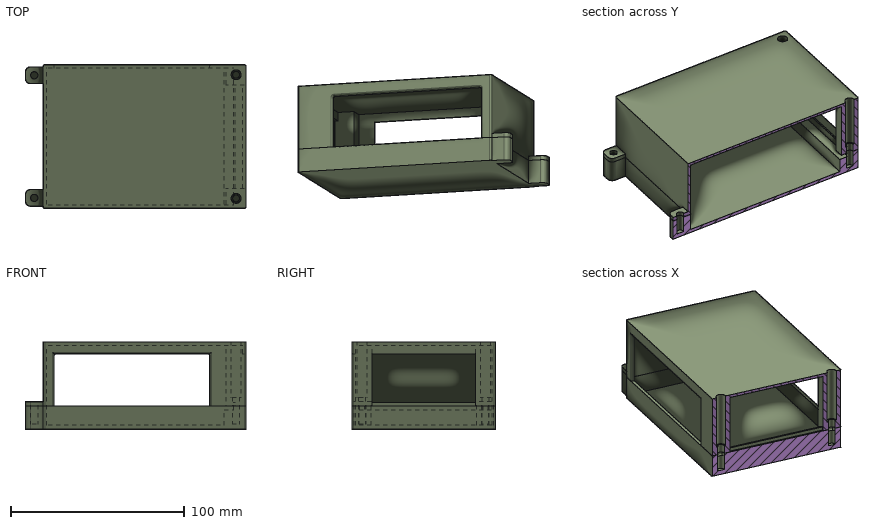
import cadquery as cq

LENGTH = 117.25
WIDTH = 83.0
HEIGHT = 50.5
BASE_HEIGHT = 13.5
WALL = 2.0
FLOOR = 2.5
CORNER_RADIUS = 1.0

TAB_LENGTH = 10.25
TAB_WIDTH = 9.75
TAB_RADIUS = 3.0
COVER_TAB_THICKNESS = 2.5
TAB_HOLE_DIAMETER = 4.2
TAB_HOLE_FLOOR = 3.0
TAB_Y = 35.4

WINDOW_START = 6.4
WINDOW_END = 96.15
WINDOW_TOP = 43.5
WINDOW_EDGE_RADIUS = 1.0

SCREW_INSET = 5.8
SCREW_DIAMETER = 4.0
SCREW_HEAD_DIAMETER = 5.7
SCREW_HEAD_SEAT = 18.5
SCREW_HOLE_FLOOR = 3.0
POST_SIZE = 2 * SCREW_INSET
SCREW_X = LENGTH - SCREW_INSET
SCREW_Y = WIDTH / 2 - SCREW_INSET

BLOCK_START = 104.4
LEDGE_HEIGHT = 11.2
UPPER_STEP_START = 110.0
LIP_THICKNESS = 0.9
LIP_HEIGHT = 2.1

END_OPENING_WIDTH = WIDTH - 2 * POST_SIZE

SIDES = (-1, 1)


def box(x_range, y_range, z_range):
    """Axis-aligned box between the given pairs of limits."""
    x0, x1 = x_range
    y0, y1 = y_range
    z0, z1 = z_range
    return cq.Workplane("XY").box(x1 - x0, y1 - y0, z1 - z0, centered=False).translate((x0, y0, z0))


def centred_box(x_range, width, z_range):
    """Box of the given width, centred on Y = 0."""
    return box(x_range, (-width / 2, width / 2), z_range)


def cylinder(x, y, diameter, z_range):
    """Vertical cylinder between two heights."""
    z0, z1 = z_range
    return cq.Workplane("XY", origin=(x, y, z0)).circle(diameter / 2).extrude(z1 - z0)


def shell_block(z_range):
    """Solid block of the enclosure outline with rounded vertical corners."""
    return centred_box((0, LENGTH), WIDTH, z_range).edges("|Z").fillet(CORNER_RADIUS)


def tab(side, z_range):
    """Mounting tab with rounded outer corners, rooted in the thickness of the -X wall."""
    y = side * TAB_Y
    block = box((-TAB_LENGTH, WALL), (y - TAB_WIDTH / 2, y + TAB_WIDTH / 2), z_range)
    return block.edges("|Z and <X").fillet(TAB_RADIUS)


def tab_hole(side, z_range):
    return cylinder(-TAB_LENGTH / 2, side * TAB_Y, TAB_HOLE_DIAMETER, z_range)


def screw_bore(side, diameter, z_range):
    return cylinder(SCREW_X, side * SCREW_Y, diameter, z_range)


def make_base():
    inner_width = WIDTH - 2 * WALL
    base = shell_block((0, BASE_HEIGHT))
    base = base.cut(centred_box((WALL, BLOCK_START), inner_width, (FLOOR, BASE_HEIGHT)))

    base = base.cut(centred_box((BLOCK_START, UPPER_STEP_START), inner_width, (LEDGE_HEIGHT, BASE_HEIGHT)))

    lip_x = (UPPER_STEP_START, UPPER_STEP_START + LIP_THICKNESS)
    lip_z = (LEDGE_HEIGHT, BASE_HEIGHT + LIP_HEIGHT)
    base = base.union(centred_box(lip_x, END_OPENING_WIDTH, lip_z))

    for side in SIDES:
        base = base.union(tab(side, (0, BASE_HEIGHT)))
        base = base.cut(tab_hole(side, (TAB_HOLE_FLOOR, BASE_HEIGHT)))
        base = base.cut(screw_bore(side, SCREW_DIAMETER, (SCREW_HOLE_FLOOR, BASE_HEIGHT)))
    return base


def make_cover():
    cover = shell_block((BASE_HEIGHT, HEIGHT))
    cavity_z = (BASE_HEIGHT, HEIGHT - WALL)
    cover = cover.cut(centred_box((WALL, LENGTH - WALL), WIDTH - 2 * WALL, cavity_z))

    window_x = (WINDOW_START, WINDOW_END)
    cover = cover.cut(centred_box(window_x, WIDTH, (BASE_HEIGHT, WINDOW_TOP)))
    margin = WALL / 2
    for side in SIDES:
        face_y = side * WIDTH / 2
        jambs_and_head = cq.selectors.BoxSelector(
            (WINDOW_START - margin, face_y - margin, BASE_HEIGHT + margin),
            (WINDOW_END + margin, face_y + margin, WINDOW_TOP + margin),
        )
        cover = cover.edges(jambs_and_head).fillet(WINDOW_EDGE_RADIUS)

    cover = cover.cut(centred_box((LENGTH - WALL, LENGTH), END_OPENING_WIDTH, (BASE_HEIGHT, WINDOW_TOP)))

    outline = shell_block((BASE_HEIGHT, HEIGHT))
    for side in SIDES:
        post_y = sorted((side * WIDTH / 2, side * (WIDTH / 2 - POST_SIZE)))
        post = box((LENGTH - POST_SIZE, LENGTH), post_y, (BASE_HEIGHT, HEIGHT))
        cover = cover.union(post.intersect(outline))
        cover = cover.cut(screw_bore(side, SCREW_DIAMETER, (BASE_HEIGHT, HEIGHT)))
        cover = cover.cut(screw_bore(side, SCREW_HEAD_DIAMETER, (SCREW_HEAD_SEAT, HEIGHT)))

    tab_z = (BASE_HEIGHT, BASE_HEIGHT + COVER_TAB_THICKNESS)
    for side in SIDES:
        cover = cover.union(tab(side, tab_z))
        cover = cover.cut(tab_hole(side, tab_z))
    return cover


base = make_base()
cover = make_cover()

result = cq.Compound.makeCompound([base.val(), cover.val()])